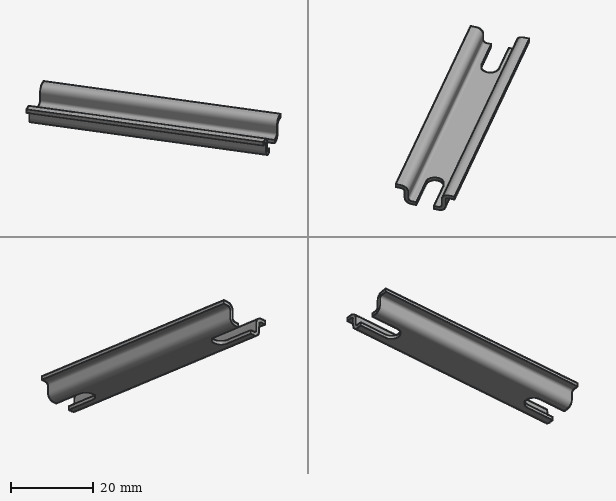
import cadquery as cq

length = 60.0
width = 15.0
height = 5.5
thickness = 1.0

channel_width = 10.5
inner_bend_radius = 0.8

slot_width = 4.5
slot_depth = 10.0


def make_rail():
    """Top-hat strip: half section extruded along X and mirrored about the XZ plane."""
    wall_outer = channel_width / 2
    wall_inner = wall_outer - thickness
    flange_underside = height - thickness
    outer_bend_radius = inner_bend_radius + thickness

    half_section = (
        cq.Workplane("YZ", origin=(-length / 2, 0, 0))
        .moveTo(0, 0)
        .lineTo(wall_outer - outer_bend_radius, 0)
        .radiusArc((wall_outer, outer_bend_radius), -outer_bend_radius)
        .lineTo(wall_outer, flange_underside - inner_bend_radius)
        .radiusArc((wall_outer + inner_bend_radius, flange_underside), inner_bend_radius)
        .lineTo(width / 2, flange_underside)
        .lineTo(width / 2, height)
        .lineTo(wall_inner + outer_bend_radius, height)
        .radiusArc((wall_inner, height - outer_bend_radius), -outer_bend_radius)
        .lineTo(wall_inner, thickness + inner_bend_radius)
        .radiusArc((wall_inner - inner_bend_radius, thickness), inner_bend_radius)
        .lineTo(0, thickness)
        .close()
        .extrude(length)
    )
    return half_section.union(half_section.mirror("XZ")).clean()


def make_end_slot(end_x):
    """Slot cutter centred on a rail end, so half of it lies inside the rail."""
    return (
        cq.Workplane("XY", origin=(end_x, 0, 0))
        .slot2D(2 * slot_depth, slot_width)
        .extrude(thickness)
    )


result = make_rail()
for end_x in (-length / 2, length / 2):
    result = result.cut(make_end_slot(end_x))